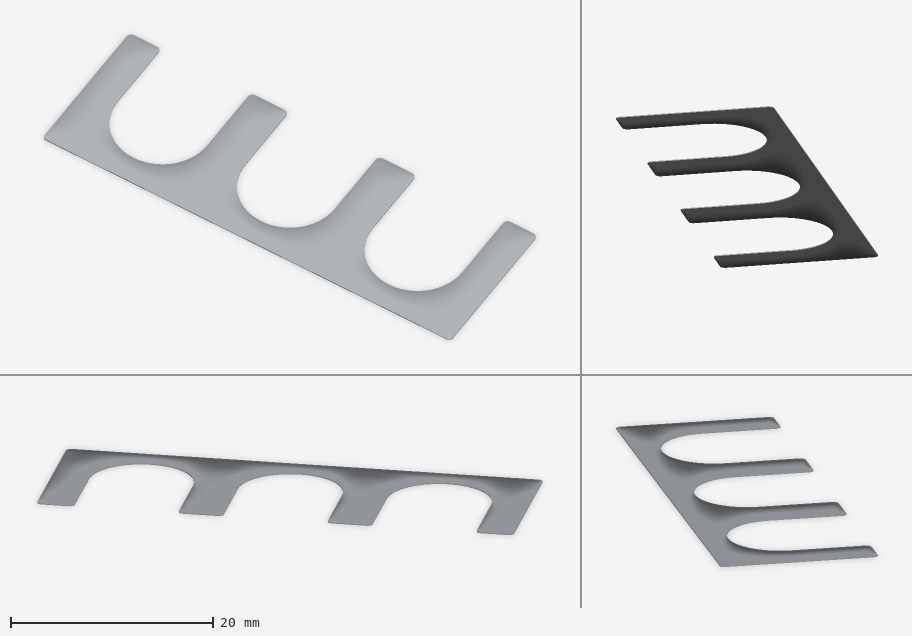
import cadquery as cq

length = 48.0
width = 16.0
thickness = 0.1
slot_count = 3
slot_pitch = 15.0
slot_width = 10.5
slot_center_y = 0.0
corner_radius = 0.5

slot_radius = slot_width / 2
back_edge_y = width / 2


def make_plate():
    """Flat rectangular shim centred on the origin in X and Y."""
    return cq.Workplane("XY").box(length, width, thickness, centered=(True, True, False))


def make_slot(center_x):
    """U-shaped cutter with a round end, open through the back (+Y) edge."""
    return (
        cq.Workplane("XY")
        .moveTo(center_x - slot_radius, back_edge_y)
        .lineTo(center_x - slot_radius, slot_center_y)
        .threePointArc(
            (center_x, slot_center_y - slot_radius),
            (center_x + slot_radius, slot_center_y),
        )
        .lineTo(center_x + slot_radius, back_edge_y)
        .close()
        .extrude(thickness)
    )


def round_corners(plate):
    """Round the outer corners and the tips of the fingers between the slots."""
    tips = plate.faces(">Y").edges("|Z").fillet(corner_radius)
    return tips.faces("<Y").edges("|Z").fillet(corner_radius)


result = make_plate()
for index in range(slot_count):
    slot_x = (index - (slot_count - 1) / 2) * slot_pitch
    result = result.cut(make_slot(slot_x))
result = round_corners(result)